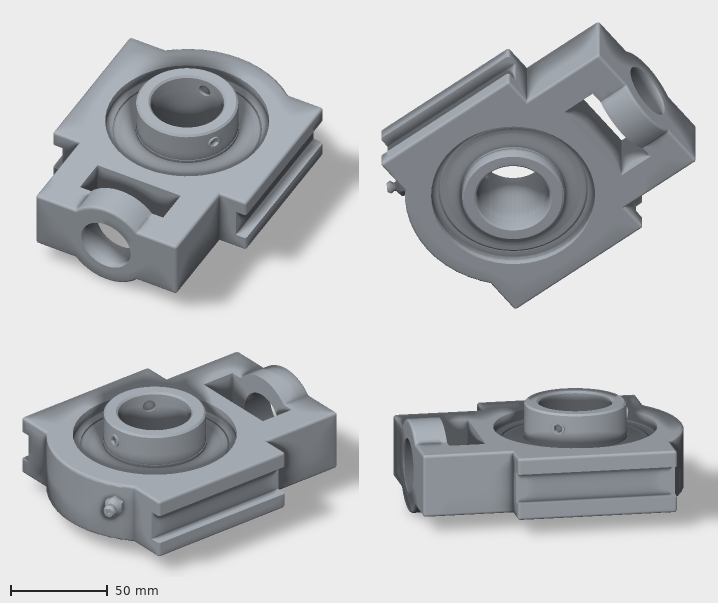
import cadquery as cq
import math


ear_span = 114.0
ear_top_y = 42.8
ear_bottom_y = -41.0
stem_width = 83.0
base_y = -88.0
crown_radius = 56.1
body_thickness = 33.0
edge_radius = 1.5

guide_width = 16.1
guide_depth = 6.0
window_width = 49.0
window_length = 19.0
base_thickness = 17.0
boss_diameter = 48.8
bolt_hole_diameter = 29.0

recess_diameter = 84.9
recess_floor_radius = 1.0
sphere_diameter = 80.1

race_width = 21.0
race_bore = 69.3
race_edge = 1.0
bore_diameter = 38.1
sleeve_diameter = 52.9
sleeve_top = 30.2
sleeve_bottom = -19.0
sleeve_chamfer = 1.0
shoulder_diameter = 53.6
shoulder_height = 26.3
seal_thickness = 1.5
seal_rise = 1.0

screw_diameter = 6.7
screw_height = 22.4
screw_angles = (90, -30)
screw_outer_end = 27.3
screw_length = 6.5
socket_flats = 4.4
socket_depth = 2.9

nipple_angle = 120
nipple_height = 4.5
shank_diameter = 6.0
shank_depth = 5.8
hex_flats = 9.0
hex_top = 59.3
neck_diameter = 4.5
neck_bottom = 61.2
neck_top = 62.2
collar_diameter = 5.8
head_diameter = 6.7
head_middle = 64.0
tip_diameter = 4.8
tip_distance = 65.8
oil_hole_diameter = 1.5
oil_hole_depth = 1.5

half_body = body_thickness / 2
half_race = race_width / 2
hex_corners = hex_flats / math.cos(math.pi / 6)
hex_corner_top = hex_top - (hex_corners - hex_flats) / 2
collar_top = hex_top + (hex_flats - collar_diameter) / 2
nipple_seat = crown_radius
shank_end = nipple_seat - shank_depth


def block(width, y_low, y_high):
    """Block of the housing thickness between two Y positions."""
    return (
        cq.Workplane("XY")
        .box(width, y_high - y_low, body_thickness)
        .translate((0, (y_low + y_high) / 2, 0))
    )


def z_cylinder(diameter, z_low, z_high):
    return cq.Workplane("XY", origin=(0, 0, z_low)).circle(diameter / 2).extrude(z_high - z_low)


def base_cylinder(diameter):
    """Cylinder along Y through the thickness of the base."""
    return cq.Workplane("XZ", origin=(0, base_y, 0)).circle(diameter / 2).extrude(-base_thickness)


def radial_plane(angle, height, distance):
    """Plane whose normal points away from the bearing axis at the given angle."""
    turn = math.radians(angle)
    outward = cq.Vector(math.cos(turn), math.sin(turn), 0)
    return cq.Plane(
        origin=outward * distance + cq.Vector(0, 0, height),
        xDir=(0, 0, 1),
        normal=outward,
    )


def radial_cylinder(angle, height, diameter, inner, outer):
    plane = radial_plane(angle, height, inner)
    return cq.Workplane(plane).circle(diameter / 2).extrude(outer - inner)


def make_housing_blank():
    """Ears, crown, stem and boss with rounded outer edges."""
    ears = block(ear_span, ear_bottom_y, ear_top_y).edges("|Z").fillet(edge_radius)
    stem = block(stem_width, base_y, 0).edges("|Z and <Y").fillet(edge_radius)
    crown = z_cylinder(2 * crown_radius, -half_body, half_body)
    crown = crown.intersect(block(ear_span, 0, crown_radius))
    blank = ears.union(crown).union(stem).faces("<Z or >Z").edges().fillet(edge_radius)
    boss = base_cylinder(boss_diameter).faces("<Y").edges().fillet(edge_radius)
    return blank.union(boss)


def make_recess():
    """Round recess with a filleted floor, open at the top of the housing."""
    recess = z_cylinder(recess_diameter, half_race, half_body + edge_radius)
    return recess.faces("<Z").edges().fillet(recess_floor_radius)


def make_housing():
    housing = make_housing_blank()

    for side in (-1, 1):
        slot_x = side * (ear_span / 2 - guide_depth / 2)
        slot = cq.Workplane("XY").box(guide_depth, 2 * ear_span, guide_width)
        housing = housing.cut(slot.translate((slot_x, 0, 0)))

    window_y = base_y + base_thickness
    window = cq.Workplane("XY").box(window_width, window_length, 2 * body_thickness)
    housing = housing.cut(window.translate((0, window_y + window_length / 2, 0)))
    housing = housing.cut(base_cylinder(bolt_hole_diameter))

    seat = cq.Workplane("XY").sphere(sphere_diameter / 2)
    seat = seat.intersect(z_cylinder(sphere_diameter, -half_race, half_race))
    recess = make_recess()
    housing = housing.cut(seat).cut(recess).cut(recess.mirror("XY"))

    shank_hole = radial_cylinder(
        nipple_angle, nipple_height, shank_diameter, shank_end, crown_radius + edge_radius
    )
    return housing.cut(shank_hole)


def make_outer_ring():
    """Outer ring with a spherical outside, straight bore and chamfered rims."""
    ring = cq.Workplane("XY").sphere(sphere_diameter / 2)
    ring = ring.intersect(z_cylinder(sphere_diameter, -half_race, half_race))
    ring = ring.faces("<Z or >Z").edges().chamfer(race_edge)
    return ring.cut(z_cylinder(race_bore, -half_race, half_race))


def make_inner_ring():
    """Inner ring: a long sleeve with a shoulder at the seals and two set screw holes."""
    sleeve = z_cylinder(sleeve_diameter, sleeve_bottom, sleeve_top)
    shoulder = z_cylinder(shoulder_diameter, -shoulder_height / 2, shoulder_height / 2)
    bore = z_cylinder(bore_diameter, sleeve_bottom, sleeve_top)
    ring = sleeve.union(shoulder).cut(bore)
    ring = ring.faces("<Z or >Z").edges().chamfer(sleeve_chamfer)
    for angle in screw_angles:
        ring = ring.cut(radial_cylinder(angle, screw_height, screw_diameter, 0, sleeve_diameter))
    return ring


def make_seal(side):
    """Ring between the bearing rings that rises toward the inner ring; side is 1 or -1."""
    inner = shoulder_diameter / 2
    outer = race_bore / 2
    return (
        cq.Workplane("XZ")
        .moveTo(inner, side * (half_race + seal_rise))
        .lineTo(outer, side * half_race)
        .lineTo(outer, side * (half_race - seal_thickness))
        .lineTo(inner, side * (half_race + seal_rise - seal_thickness))
        .close()
        .revolve(360, (0, 0, 0), (0, 1, 0))
    )


def make_set_screw(angle):
    inner_end = screw_outer_end - screw_length
    screw = cq.Workplane(radial_plane(angle, screw_height, inner_end))
    screw = screw.circle(screw_diameter / 2).extrude(screw_length)
    socket = (
        cq.Workplane(radial_plane(angle, screw_height, screw_outer_end))
        .polygon(6, socket_flats / math.cos(math.pi / 6))
        .extrude(-socket_depth)
    )
    return screw.cut(socket)


def make_nipple():
    """Grease nipple: a turned profile whose widest part is cut to a hexagon."""
    profile = [
        (0, shank_end),
        (shank_diameter / 2, shank_end),
        (shank_diameter / 2, nipple_seat),
        (hex_corners / 2, nipple_seat),
        (hex_corners / 2, hex_corner_top),
        (collar_diameter / 2, collar_top),
        (neck_diameter / 2, neck_bottom),
        (neck_diameter / 2, neck_top),
        (head_diameter / 2, head_middle),
        (tip_diameter / 2, tip_distance),
        (oil_hole_diameter / 2, tip_distance),
        (oil_hole_diameter / 2, tip_distance - oil_hole_depth),
        (0, tip_distance - oil_hole_depth),
    ]
    base_plane = radial_plane(nipple_angle, nipple_height, 0)
    side_plane = cq.Plane(
        origin=base_plane.origin,
        xDir=base_plane.xDir,
        normal=base_plane.xDir.cross(base_plane.zDir),
    )
    turned = cq.Workplane(side_plane).polyline(profile).close().revolve(360, (0, 0, 0), (0, 1, 0))
    hexagon = cq.Workplane(base_plane).polygon(6, hex_corners).extrude(tip_distance)
    return turned.intersect(hexagon)


housing = make_housing()
outer_ring = make_outer_ring()
inner_ring = make_inner_ring()
seals = [make_seal(side) for side in (-1, 1)]
set_screws = [make_set_screw(angle) for angle in screw_angles]
nipple = make_nipple()

result = cq.Compound.makeCompound(
    [
        housing.val(),
        outer_ring.val(),
        inner_ring.val(),
        *[seal.val() for seal in seals],
        *[screw.val() for screw in set_screws],
        nipple.val(),
    ]
)